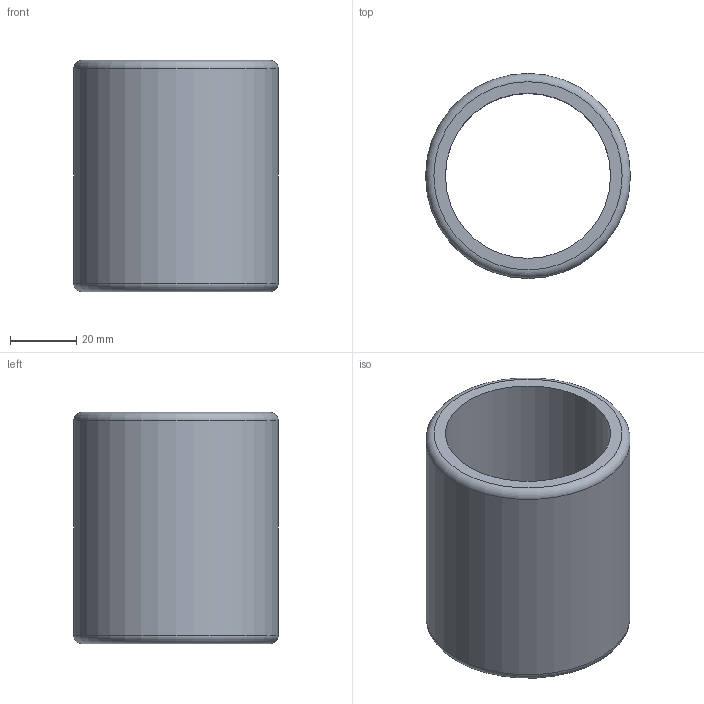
import cadquery as cq

outer_diameter = 62.0
bore_diameter = 50.0
length = 70.0
rim_radius = 2.5


def make_sleeve():
    """Tube standing on the XY plane, with its axis along Z."""
    return (
        cq.Workplane("XY")
        .circle(outer_diameter / 2)
        .circle(bore_diameter / 2)
        .extrude(length)
    )


def round_outer_rims(sleeve):
    """Round the outer edge at both ends; the bore edges stay sharp."""
    outer_rims = sleeve.edges(cq.selectors.RadiusNthSelector(-1))
    return outer_rims.fillet(rim_radius)


result = round_outer_rims(make_sleeve())